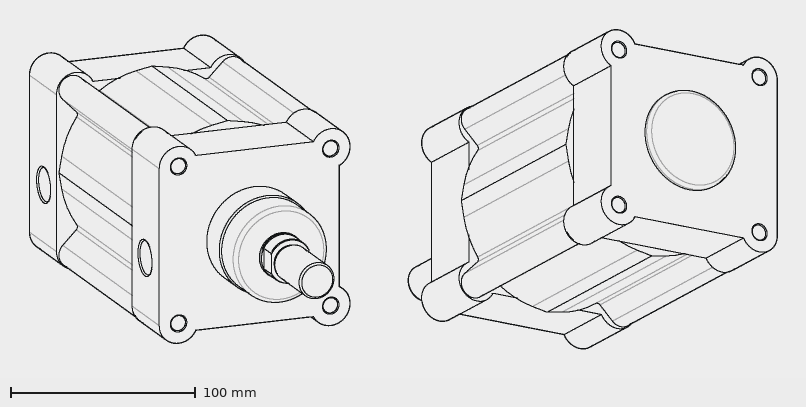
import cadquery as cq
import math


overall_length = 282.7
rear_boss_length = 3.7
cap_length = 39.3
barrel_length = 109.7
rear_cap_start = rear_boss_length
barrel_start = rear_cap_start + cap_length
front_cap_start = barrel_start + barrel_length
front_cap_end = front_cap_start + cap_length

cap_half_width = 49.5
lobe_offset = 44.5
lobe_radius = 11.3
cap_reach = lobe_offset + lobe_radius

screw_hole_radius = 4.2
screw_hole_depth = 22.5
screw_mouth_radius = 4.8
screw_sink_depth = 0.5

port_radius = 9.3
port_depth = 25.5
port_mouth_radius = 10.2
port_sink_depth = 0.8
port_inset = 20.5
port_height = -12.0

boss_radius = 28.0
rear_boss_fillet = 2.0
collar_base_length = 19.5
collar_step = 0.8
collar_step_taper = 1.5
collar_nose_radius = boss_radius - collar_step
collar_end = 230.5
collar_fillet = 2.3

tube_radius = 53.5
ridge_half_angle = 10.0
rib_tip_offset = 46.6
rib_radius = 7.5
rib_root_fillet = 2.3
edge_match_tolerance = 0.03

shaft_radius = 12.7
wrench_radius = 12.5
wrench_nose_radius = 12.2
flat_half_width = 11.0
neck_radius = 9.3
thread_radius = 10.2
thread_chamfer = 1.0
shaft_end = 231.8
wrench_start = 232.7
wrench_end = 243.5
wrench_chamfer_length = 0.8
neck_end = 244.5
thread_start = 246.0


def sketch_plane(x):
    """Plane across the cylinder axis: its local axes are the part's Y and Z."""
    return cq.Workplane("YZ", origin=(x, 0, 0))


def corner_points(offset):
    return [(y, z) for y in (-offset, offset) for z in (-offset, offset)]


def countersunk_drill(mouth, direction, radius, depth, mouth_radius, sink_depth):
    """Cutter for a blind flat-bottomed hole with a countersunk mouth."""
    start = cq.Vector(*mouth)
    axis = cq.Vector(*direction)
    bore = cq.Solid.makeCylinder(radius, depth, start, axis)
    sink = cq.Solid.makeCone(mouth_radius, radius, sink_depth, start, axis)
    return bore.fuse(sink)


def make_cap_block(start, outer_face, inward):
    """Cap block with its lobes, screw holes and port.

    Holes are placed from the outer face; inward is the X direction (+1 or -1) into the cap.
    """
    block = sketch_plane(start).rect(2 * cap_half_width, 2 * cap_half_width).extrude(cap_length)
    lobe_centers = sketch_plane(start).pushPoints(corner_points(lobe_offset))
    lobes = lobe_centers.circle(lobe_radius).extrude(cap_length)
    port_pad = (
        sketch_plane(start)
        .center(-cap_reach / 2, 0)
        .rect(cap_reach, 2 * lobe_offset)
        .extrude(cap_length)
    )
    cap = block.union(lobes).union(port_pad)
    for y, z in corner_points(lobe_offset):
        screw_hole = countersunk_drill(
            (outer_face, y, z),
            (inward, 0, 0),
            screw_hole_radius,
            screw_hole_depth,
            screw_mouth_radius,
            screw_sink_depth,
        )
        cap = cap.cut(cq.Workplane(screw_hole))
    port = countersunk_drill(
        (outer_face + inward * port_inset, -cap_reach, port_height),
        (0, 1, 0),
        port_radius,
        port_depth,
        port_mouth_radius,
        port_sink_depth,
    )
    return cap.cut(cq.Workplane(port))


def make_rear_cap():
    boss = sketch_plane(0).circle(boss_radius).extrude(rear_boss_length)
    boss = boss.faces("<X").edges().fillet(rear_boss_fillet)
    return make_cap_block(rear_cap_start, rear_cap_start, 1).union(boss)


def make_front_cap():
    taper_end = front_cap_end + collar_base_length
    taper_start = taper_end - collar_step_taper
    collar_profile = [
        (front_cap_end, 0),
        (front_cap_end, boss_radius),
        (taper_start, boss_radius),
        (taper_end, collar_nose_radius),
        (collar_end, collar_nose_radius),
        (collar_end, 0),
    ]
    collar = cq.Workplane("XY").polyline(collar_profile).close().revolve(360, (0, 0, 0), (1, 0, 0))
    collar = collar.faces(">X").edges().fillet(collar_fillet)
    rod_bore = sketch_plane(front_cap_start).circle(shaft_radius).extrude(collar_end - front_cap_start)
    return make_cap_block(front_cap_start, front_cap_end, -1).union(collar).cut(rod_bore)


def make_ridge():
    """Wedge whose two faces run tangent off the tube and meet in a line at +Z."""
    angle = math.radians(ridge_half_angle)
    tangent_y = tube_radius * math.sin(angle)
    tangent_z = tube_radius * math.cos(angle)
    apex_z = tube_radius / math.cos(angle)
    outline = [(0, 0), (tangent_y, tangent_z), (0, apex_z), (-tangent_y, tangent_z)]
    return sketch_plane(barrel_start).polyline(outline).close().extrude(barrel_length)


def make_corner_rib():
    """Round-tipped rib that stands out from the tube along the +Y +Z diagonal."""
    rib_reach = rib_tip_offset * math.sqrt(2)
    rib = (
        sketch_plane(barrel_start)
        .moveTo(0, -rib_radius)
        .lineTo(rib_reach, -rib_radius)
        .threePointArc((rib_reach + rib_radius, 0), (rib_reach, rib_radius))
        .lineTo(0, rib_radius)
        .close()
        .extrude(barrel_length)
    )
    return rib.rotate((0, 0, 0), (1, 0, 0), 45)


def is_rib_root(edge):
    """True for the lengthwise edges where the rib sides leave the round tube."""
    center = edge.Center()
    on_tube = abs(math.hypot(center.y, center.z) - tube_radius) < edge_match_tolerance
    beside_rib = abs(abs(abs(center.y) - abs(center.z)) - rib_radius * math.sqrt(2)) < edge_match_tolerance
    return on_tube and beside_rib


def make_barrel():
    barrel = sketch_plane(barrel_start).circle(tube_radius).extrude(barrel_length)
    ridge = make_ridge()
    rib = make_corner_rib()
    for quarter in range(4):
        turn = 90 * quarter
        barrel = barrel.union(ridge.rotate((0, 0, 0), (1, 0, 0), turn))
        barrel = barrel.union(rib.rotate((0, 0, 0), (1, 0, 0), turn))
    return barrel.edges("|X").filter(is_rib_root).fillet(rib_root_fillet)


def make_rod():
    profile = [
        (front_cap_start, 0),
        (front_cap_start, shaft_radius),
        (shaft_end, shaft_radius),
        (wrench_start, wrench_radius),
        (wrench_end - wrench_chamfer_length, wrench_radius),
        (wrench_end, wrench_nose_radius),
        (wrench_end, neck_radius),
        (neck_end, neck_radius),
        (thread_start, thread_radius),
        (overall_length - thread_chamfer, thread_radius),
        (overall_length, thread_radius - thread_chamfer),
        (overall_length, 0),
    ]
    rod = cq.Workplane("XY").polyline(profile).close().revolve(360, (0, 0, 0), (1, 0, 0))
    wrench_length = wrench_end - wrench_start
    for side in (-1, 1):
        cutter = cq.Workplane("XY").box(wrench_length, shaft_radius, 2 * shaft_radius)
        cutter_y = side * (flat_half_width + shaft_radius / 2)
        rod = rod.cut(cutter.translate((wrench_start + wrench_length / 2, cutter_y, 0)))
    return rod


rear_cap = make_rear_cap().solids()
barrel = make_barrel().solids()
front_cap = make_front_cap().solids()
rod = make_rod().solids()

result = cq.Compound.makeCompound([rear_cap.val(), barrel.val(), front_cap.val(), rod.val()])